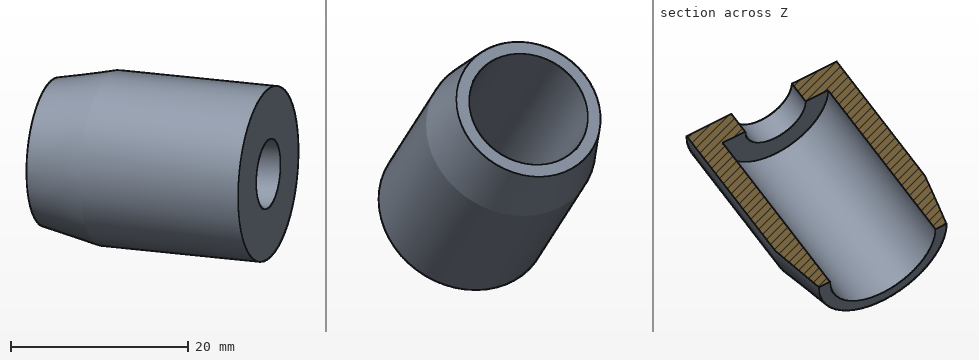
import cadquery as cq

length = 26.0
outer_diameter = 20.0

nose_length = 7.0
nose_diameter = 17.0

bore_diameter = 14.0
hole_diameter = 8.0
end_wall = (outer_diameter - bore_diameter) / 2


def revolved_body():
    """Cylinder with a conical nose, revolved about the X axis."""
    profile = (
        cq.Workplane("XY")
        .moveTo(0, 0)
        .lineTo(0, nose_diameter / 2)
        .lineTo(nose_length, outer_diameter / 2)
        .lineTo(length, outer_diameter / 2)
        .lineTo(length, 0)
        .close()
    )
    return profile.revolve(360, (0, 0, 0), (1, 0, 0))


def axial_cylinder(diameter, depth):
    """Cylinder along +X that starts at the nose face."""
    return cq.Workplane("YZ").circle(diameter / 2).extrude(depth)


wide_bore = axial_cylinder(bore_diameter, length - end_wall)
through_hole = axial_cylinder(hole_diameter, length)
result = revolved_body().cut(wide_bore).cut(through_hole)